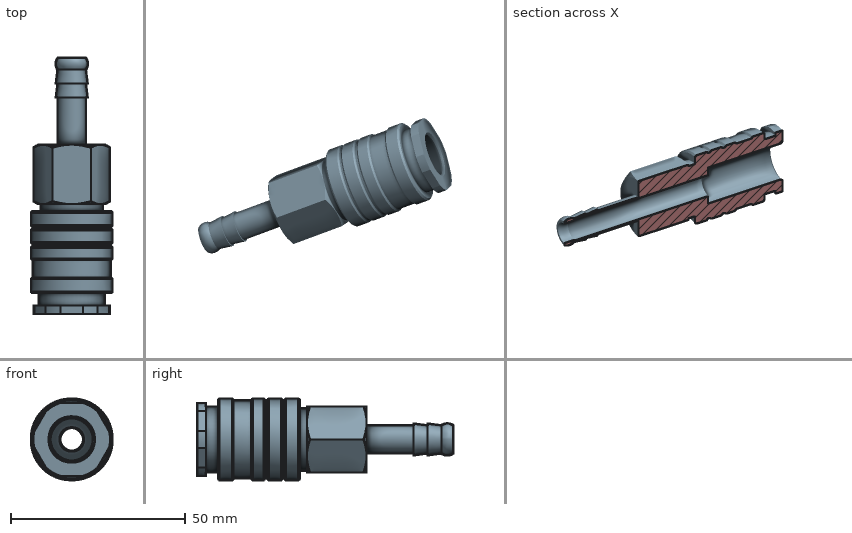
import cadquery as cq
import math

overall_length = 73.5
bulb_end = 3.4
barb_length = 4.0
barb_count = 2
hex_start = 24.9
hex_end = 42.0
sleeve_start = 44.0
sleeve_end = 67.5
collar_start = 71.0

stem_radius = 4.1
barb_radius = 4.6
bulb_radius = 4.65
bulb_end_radius = 4.0
rear_neck_radius = 9.0
front_neck_radius = 9.5
sleeve_radius = 11.75
collar_radius = 11.0

ring_height = 0.5
grip_rings = [(sleeve_start, 48.5), (49.0, 53.4), (54.0, 58.0), (63.0, sleeve_end)]

hex_across_flats = 19.0
hex_chamfer_angle = 30.0
collar_across_flats = 21.0

passage_radius = 3.5
tail_hole_radius = 3.25
socket_radius = 6.05
socket_depth = 25.0
socket_mouth_radius = 6.65
socket_chamfer = socket_mouth_radius - socket_radius


def revolve_profile(profile):
    """Revolve a closed (radius, station) profile about the Y axis."""
    return profile.close().revolve(360, (0, 0, 0), (0, 1, 0))


def at(radius, station):
    """Sketch point (x, y) for a radius and a station, with the part centred along Y."""
    return (radius, overall_length / 2 - station)


def cross_section(station):
    """Workplane across the axis, extruding toward the mouth."""
    return cq.Workplane("XZ", origin=(*at(0, station), 0))


def cylinder(radius, start, end):
    return cross_section(start).circle(radius).extrude(end - start)


def hex_prism(across_flats, start, end):
    """Hexagonal prism along Y with corners on the X axis."""
    across_corners = across_flats / math.cos(math.pi / 6)
    return cross_section(start).polygon(6, across_corners).extrude(end - start)


def make_hose_tail():
    """Round-nosed tail, sawtooth barbs and the plain stem up to the hexagon."""
    profile = (
        cq.Workplane("XY")
        .moveTo(*at(0, 0))
        .lineTo(*at(bulb_end_radius, 0))
        .threePointArc(at(bulb_radius, bulb_end / 2), at(stem_radius, bulb_end))
    )
    for i in range(1, barb_count + 1):
        barb_end = bulb_end + i * barb_length
        profile = profile.lineTo(*at(barb_radius, barb_end)).lineTo(*at(stem_radius, barb_end))
    profile = profile.lineTo(*at(stem_radius, hex_start)).lineTo(*at(0, hex_start))
    return revolve_profile(profile)


def make_hex_body():
    """Wrench hexagon with its corners turned down conically at both ends."""
    end_radius = hex_across_flats / 2
    corner_radius = end_radius / math.cos(math.pi / 6)
    chamfer_length = (corner_radius - end_radius) * math.tan(math.radians(hex_chamfer_angle))
    envelope = revolve_profile(
        cq.Workplane("XY")
        .moveTo(*at(0, hex_start))
        .lineTo(*at(end_radius, hex_start))
        .lineTo(*at(corner_radius, hex_start + chamfer_length))
        .lineTo(*at(corner_radius, hex_end - chamfer_length))
        .lineTo(*at(end_radius, hex_end))
        .lineTo(*at(0, hex_end))
    )
    return hex_prism(hex_across_flats, hex_start, hex_end).intersect(envelope)


def make_sleeve():
    """Sliding sleeve: a cylinder carrying the raised grip rings."""
    base_radius = sleeve_radius - ring_height
    profile = cq.Workplane("XY").moveTo(*at(0, sleeve_start))
    for start, end in grip_rings:
        profile = (
            profile.lineTo(*at(base_radius, start))
            .lineTo(*at(sleeve_radius, start + ring_height))
            .lineTo(*at(sleeve_radius, end - ring_height))
            .lineTo(*at(base_radius, end))
        )
    return revolve_profile(profile.lineTo(*at(0, sleeve_end)))


def make_collar():
    """Round mouth collar trimmed by six flats."""
    disc = cylinder(collar_radius, collar_start, overall_length)
    return disc.intersect(hex_prism(collar_across_flats, collar_start, overall_length))


def make_bores():
    """Through passage, narrowed inside the rounded nose, and the wider plug socket with a chamfered mouth."""
    socket_floor = overall_length - socket_depth
    return revolve_profile(
        cq.Workplane("XY")
        .moveTo(*at(0, 0))
        .lineTo(*at(tail_hole_radius, 0))
        .lineTo(*at(tail_hole_radius, bulb_end))
        .lineTo(*at(passage_radius, bulb_end))
        .lineTo(*at(passage_radius, socket_floor))
        .lineTo(*at(socket_radius, socket_floor))
        .lineTo(*at(socket_radius, overall_length - socket_chamfer))
        .lineTo(*at(socket_mouth_radius, overall_length))
        .lineTo(*at(0, overall_length))
    )


rear_neck = cylinder(rear_neck_radius, hex_end, sleeve_start)
front_neck = cylinder(front_neck_radius, sleeve_end, collar_start)

result = (
    make_hose_tail()
    .union(make_hex_body())
    .union(rear_neck)
    .union(make_sleeve())
    .union(front_neck)
    .union(make_collar())
    .cut(make_bores())
)